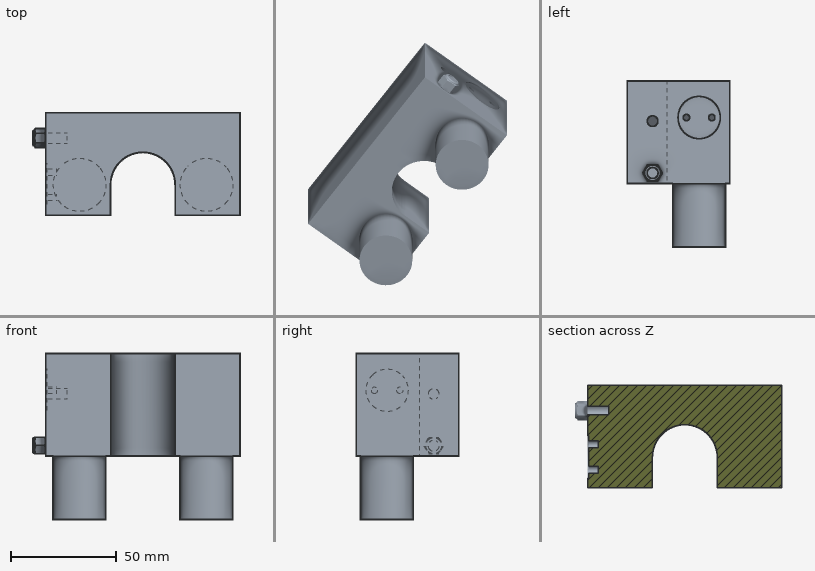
import cadquery as cq
import math

block_length = 92.0
block_depth = 48.5
block_height = 48.5
slot_axis_to_front = 14.5
slot_width = 30.4

post_diameter = 25.0
post_length = 30.0
post_spacing = 60.0

plate_diameter = 20.0
plate_recess = 0.5
plate_below_top = 17.3
spanner_hole_diameter = 3.0
spanner_hole_spacing = 12.0
spanner_hole_depth = 5.0

port_diameter = 5.0
port_depth = 10.0
port_below_top = 19.0
fitting_to_back = 12.0
fitting_height = 5.0
fitting_length = 6.0
hex_across_flats = 8.0
hex_length = 5.2
collar_diameter = 7.5
collar_rounding = 0.8
tip_recess_diameter = 5.2
tip_recess_depth = 0.5
corner_chamfer_angle = math.radians(30)

left_x = -block_length / 2
front_y = -slot_axis_to_front
back_y = front_y + block_depth
fitting_y = back_y - fitting_to_back


def left_face_cylinder(y, z, diameter, depth):
    """Cylinder running inward (+X) from the left face."""
    plane = cq.Workplane("YZ", origin=(left_x, y, z))
    return plane.circle(diameter / 2).extrude(depth)


def make_block():
    block = cq.Workplane("XY").box(
        block_length, block_depth, block_height, centered=(True, False, False)
    ).translate((0, front_y, 0))
    slot_round = cq.Workplane("XY").circle(slot_width / 2).extrude(block_height)
    slot_mouth = cq.Workplane("XY").box(
        slot_width, slot_axis_to_front, block_height, centered=(True, False, False)
    ).translate((0, front_y, 0))
    return block.cut(slot_round).cut(slot_mouth)


def make_posts():
    half_spacing = post_spacing / 2
    post_centers = [(-half_spacing, 0), (half_spacing, 0)]
    return cq.Workplane("XY").pushPoints(post_centers).circle(post_diameter / 2).extrude(-post_length)


def make_end_plate_cuts():
    plate_z = block_height - plate_below_top
    cuts = left_face_cylinder(0, plate_z, plate_diameter, plate_recess)
    for side in (-1, 1):
        hole_y = side * spanner_hole_spacing / 2
        hole = left_face_cylinder(hole_y, plate_z, spanner_hole_diameter, spanner_hole_depth)
        cuts = cuts.union(hole)
    return cuts


def make_port():
    port_z = block_height - port_below_top
    return left_face_cylinder(fitting_y, port_z, port_diameter, port_depth)


def make_fitting():
    """Hexagon with corners chamfered at both ends and a rounded, recessed collar at its tip."""
    plane = cq.Workplane("YZ", origin=(left_x, fitting_y, fitting_height))
    flat_radius = hex_across_flats / 2
    corner_radius = flat_radius / math.cos(math.pi / 6)
    hexagon = plane.polygon(6, 2 * corner_radius).extrude(-hex_length)

    collar_radius = collar_diameter / 2
    chamfer_slope = math.tan(corner_chamfer_angle)
    inner_trim = (corner_radius - flat_radius) * chamfer_slope
    outer_trim = (corner_radius - collar_radius) * chamfer_slope
    envelope = (
        cq.Workplane("XY")
        .moveTo(0, 0)
        .lineTo(0, flat_radius)
        .lineTo(-inner_trim, corner_radius)
        .lineTo(outer_trim - hex_length, corner_radius)
        .lineTo(-hex_length, collar_radius)
        .lineTo(-hex_length, 0)
        .close()
        .revolve(360, (0, 0, 0), (1, 0, 0))
        .translate((left_x, fitting_y, fitting_height))
    )
    collar = plane.circle(collar_radius).extrude(-fitting_length)
    collar = collar.faces("<X").edges().fillet(collar_rounding)
    tip_plane = plane.workplane(offset=-fitting_length)
    tip_recess = tip_plane.circle(tip_recess_diameter / 2).extrude(tip_recess_depth)
    return hexagon.intersect(envelope).union(collar).cut(tip_recess)


body = make_block().union(make_posts())
body = body.cut(make_end_plate_cuts()).cut(make_port())
result = body.union(make_fitting())